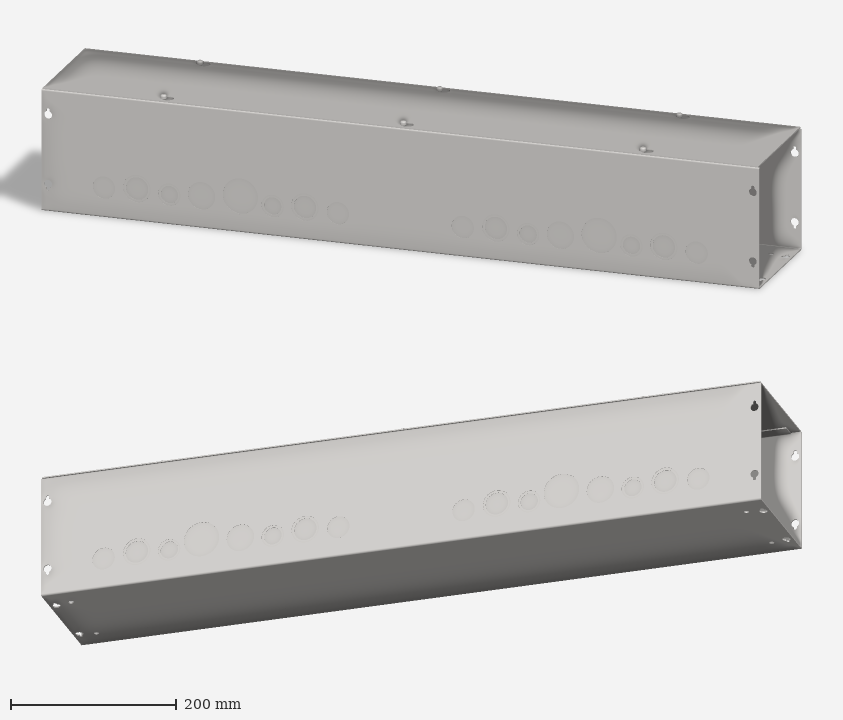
import cadquery as cq

length = 914.0
width = 157.0
overall_height = 161.0
sheet = 1.6

head_height = 5.0
head_diameter = 8.0
head_edge_radius = 2.3
shank_diameter = 5.0
shank_length = 7.0
screw_pitch = 305.0
screw_y = 68.0
screw_places = [
    (column * screw_pitch, side * screw_y)
    for column in (-1, 0, 1)
    for side in (-1, 1)
]

cover_top = overall_height - head_height
trough_height = cover_top - sheet

bend_radius = 2.3
flange_width = 19.0
flange_end_gap = 14.0

cover_length = 912.0
cover_entry_diameter = 15.0
cover_neck_diameter = 6.3
cover_entry_shift = 5.5

end_entry_diameter = 10.0
end_neck_diameter = 4.1
end_neck_shift = 6.0
end_keyhole_inset = 8.0
end_keyhole_offset = 44.0
wall_keyhole_middle = 79.0

floor_hole_diameter = 6.3
floor_hole_inset = 28.0
floor_hole_offset = 48.5

knockout_depth = 0.5
knockout_bottom = 24.0
knockout_group_pitch = 457.0
small, medium, large, extra_large = 22.0, 28.0, 35.0, 45.0
knockouts = [
    (-149.0, [medium]),
    (-107.0, [large, medium]),
    (-66.0, [medium, small]),
    (-25.0, [large]),
    (25.0, [extra_large]),
    (66.0, [medium, small]),
    (107.0, [large, medium]),
    (149.0, [medium]),
]


def keyhole(entry_diameter, neck_diameter, neck_shift, depth):
    """Cutter along Z, centred on Z = 0: a round entry at the origin, a neck ending at +X."""
    entry = cq.Workplane("XY").circle(entry_diameter / 2).extrude(depth / 2, both=True)
    neck = (
        cq.Workplane("XY")
        .center(neck_shift / 2, 0)
        .slot2D(neck_shift + neck_diameter, neck_diameter)
        .extrude(depth / 2, both=True)
    )
    return entry.union(neck)


def make_shell():
    """Folded sheet: floor, two side walls and two inward flanges along the top."""
    outside = (
        cq.Workplane("XY")
        .box(length, width, trough_height, centered=(True, True, False))
        .edges("|X")
        .fillet(bend_radius)
    )
    inside = (
        cq.Workplane("XY")
        .workplane(offset=sheet)
        .box(length, width - 2 * sheet, trough_height - 2 * sheet, centered=(True, True, False))
        .edges("|X")
        .fillet(bend_radius - sheet)
    )
    opening = (
        cq.Workplane("XY")
        .workplane(offset=trough_height / 2)
        .box(length, width - 2 * flange_width, trough_height, centered=(True, True, False))
    )
    shell = outside.cut(inside).cut(opening)
    for end in (-1, 1):
        notch = cq.Workplane("XY").box(
            2 * flange_end_gap, width - 2 * sheet, 2 * bend_radius
        ).translate((end * length / 2, 0, trough_height))
        shell = shell.cut(notch)
    return shell


def cut_end_keyholes(shell):
    cutter = keyhole(end_entry_diameter, end_neck_diameter, end_neck_shift, 2 * width)
    floor_cutter = keyhole(end_entry_diameter, end_neck_diameter, end_neck_shift, 4 * sheet)
    through_walls = cutter.rotate((0, 0, 0), (1, 0, 0), 90)
    for end in (-1, 1):
        x = end * (length / 2 - end_keyhole_inset)
        for side in (-1, 1):
            turned = through_walls.rotate((0, 0, 0), (0, 1, 0), -90 * side)
            z = wall_keyhole_middle + side * end_keyhole_offset
            shell = shell.cut(turned.translate((x, 0, z)))
            flat = floor_cutter.rotate((0, 0, 0), (0, 0, 1), 90 * side)
            shell = shell.cut(flat.translate((x, side * end_keyhole_offset, 0)))
    return shell


def cut_floor_holes(shell):
    floor_holes = (
        cq.Workplane("XY")
        .rect(length - 2 * floor_hole_inset, 2 * floor_hole_offset, forConstruction=True)
        .vertices()
        .circle(floor_hole_diameter / 2)
        .extrude(sheet)
    )
    return shell.cut(floor_holes)


def cut_screw_holes(shell):
    holes = (
        cq.Workplane("XY")
        .workplane(offset=trough_height - sheet)
        .pushPoints(screw_places)
        .circle(shank_diameter / 2)
        .extrude(sheet)
    )
    return shell.cut(holes)


def press_knockouts(shell):
    """Press every knockout into both side walls, each inner disc one step deeper."""
    for side in (-1, 1):
        for group in (-0.5, 0.5):
            for shift, diameters in knockouts:
                x = group * knockout_group_pitch + shift
                z = knockout_bottom + diameters[0] / 2
                for step, diameter in enumerate(diameters, start=1):
                    disc = (
                        cq.Workplane("XZ", origin=(x, side * width / 2, z))
                        .circle(diameter / 2)
                        .extrude(step * knockout_depth, both=True)
                    )
                    shell = shell.cut(disc)
    return shell


def make_trough():
    trough = make_shell()
    trough = cut_end_keyholes(trough)
    trough = cut_floor_holes(trough)
    trough = cut_screw_holes(trough)
    return press_knockouts(trough)


def make_cover():
    """Flat plate with a keyhole at each screw, the screw standing in the narrow end."""
    cover = (
        cq.Workplane("XY")
        .workplane(offset=trough_height)
        .box(cover_length, width, sheet, centered=(True, True, False))
    )
    cutter = keyhole(
        cover_entry_diameter, cover_neck_diameter, cover_entry_shift, 2 * sheet
    ).rotate((0, 0, 0), (0, 0, 1), 180)
    for x, y in screw_places:
        cover = cover.cut(cutter.translate((x + cover_entry_shift, y, trough_height + sheet / 2)))
    return cover


def make_screw(x, y):
    """Round-headed screw: the head rests on the cover, the shank passes through the flange."""
    head = (
        cq.Workplane("XY", origin=(x, y, cover_top))
        .circle(head_diameter / 2)
        .extrude(head_height)
        .faces(">Z")
        .edges()
        .fillet(head_edge_radius)
    )
    shank = (
        cq.Workplane("XY", origin=(x, y, cover_top))
        .circle(shank_diameter / 2)
        .extrude(-shank_length)
    )
    return head.union(shank)


trough = make_trough()
cover = make_cover()
screws = [make_screw(x, y).val() for x, y in screw_places]

result = cq.Compound.makeCompound([trough.val(), cover.val(), *screws])